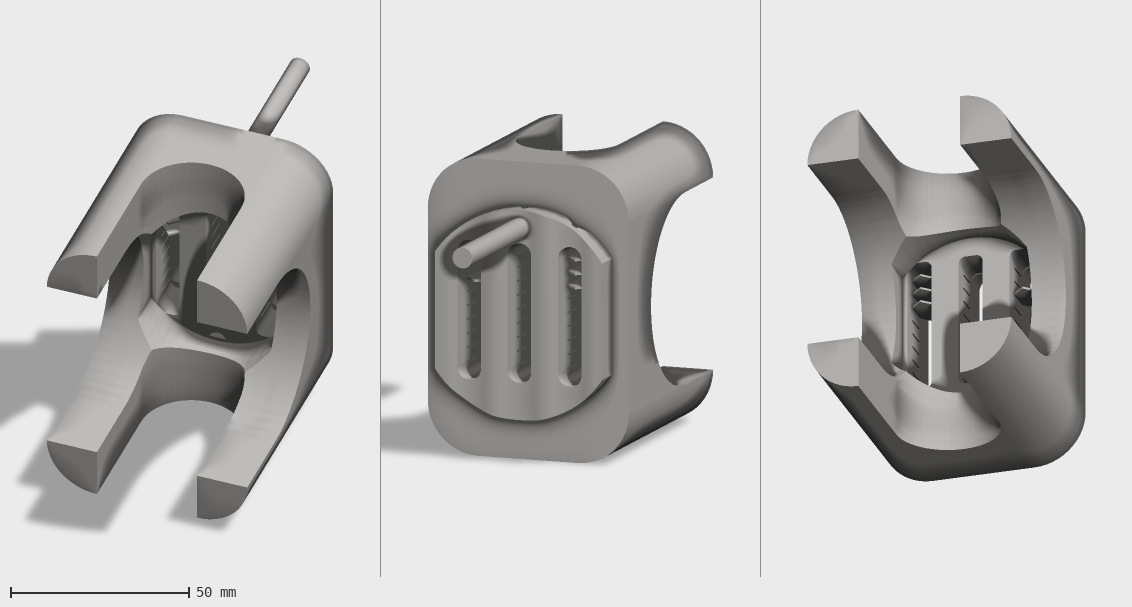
import cadquery as cq
import math


TOTAL_LENGTH = 121.0
WIDTH = 60.0
HEIGHT = 85.0
BLOCK_LENGTH = 68.0
CORNER_RADIUS = WIDTH / 4

PLATE_THICKNESS = 12.0
BACK_WALL = 18.0
BORE_DIAMETER = 50.0
BORE_WIDTH = 39.9
LEG_SIDE = CORNER_RADIUS
VERTICAL_SLOT_RADIUS = WIDTH / 2 - LEG_SIDE
CROSS_SLOT_RADIUS = HEIGHT / 2 - LEG_SIDE

COLUMN_PITCH = WIDTH / 4
COLUMNS = [-COLUMN_PITCH, 0, COLUMN_PITCH]
WINDOW_WIDTH = 7.0
WINDOW_HEIGHT = 39.0
WINDOW_CORNER_RADIUS = 1.9
CAP_WINDOW_CORNER_RADIUS = 3.4
CAP_WINDOW_EXTRA_HEIGHT = 1.0

CAP_DIAMETER = WIDTH
CAP_WIDTH = 50.0
CAP_THICKNESS = 7.9
WAVE_DEPTH = 1.2
VALLEY_RADIUS = 15.7
GROOVE_HALF_WIDTH = 3.6
GROOVE_DEPTH = 4.0
GROOVE_SLIT_WIDTH = 1.7

ROD_DIAMETER = 5.9
ROD_HEIGHT = BORE_DIAMETER / 2
LOWER_HOLE_DIAMETER = 5.1
LOWER_HOLE_TOP = -(ROD_HEIGHT - ROD_DIAMETER / 2)
LOWER_HOLE_FLOOR = -23.8

SAMPLE_SIDE = 10.0
SAMPLE_THICKNESS = 0.6
SAMPLE_TIP = 2.9
ROW_PITCH = 4.0
OUTER_ROW = 4
LOADED_PLACES = [(0, 4), (0, 3), (0, 2), (2, 2)]


def box(x_size, y_start, y_end, z_start, z_end, x_center=0):
    """Box centred on x_center, between two Y positions and two Z positions."""
    corner = cq.Vector(x_center - x_size / 2, y_start, z_start)
    return cq.Workplane(obj=cq.Solid.makeBox(x_size, y_end - y_start, z_end - z_start, corner))


def rod_along_y(diameter, y_start, y_end, z_center):
    """Cylinder along Y at X = 0."""
    start = cq.Vector(0, y_start, z_center)
    direction = cq.Vector(0, 1, 0)
    return cq.Workplane(obj=cq.Solid.makeCylinder(diameter / 2, y_end - y_start, start, direction))


def flatted_disc(diameter, width, y_start, y_end):
    """Disc along Y with two flats facing -X and +X."""
    radius = diameter / 2
    disc = rod_along_y(diameter, y_start, y_end, 0)
    return disc.intersect(box(width, y_start, y_end, -radius, radius))


def window(x_center, z_bottom, z_top, y_start, y_end, corner_radius):
    """Tall window through Y with rounded corners."""
    opening = box(WINDOW_WIDTH, y_start, y_end, z_bottom, z_top, x_center)
    return opening.edges("|Y").fillet(corner_radius)


def open_slot(radius, length):
    """U-shaped slot along Z, open at the front, whose round end leaves the back wall standing."""
    arc_center = -BACK_WALL - radius
    outline = cq.Workplane("XY").moveTo(radius, -BLOCK_LENGTH).lineTo(radius, arc_center)
    outline = outline.threePointArc((0, -BACK_WALL), (-radius, arc_center))
    outline = outline.lineTo(-radius, -BLOCK_LENGTH).close()
    return outline.extrude(length / 2, both=True)


def sample(column, row):
    """Square plate in the given column and row, with one corner pointing towards +Y."""
    half_diagonal = SAMPLE_SIDE / math.sqrt(2)
    x_center = COLUMNS[column]
    y_center = SAMPLE_TIP - half_diagonal
    corners = [
        (x_center, y_center + half_diagonal),
        (x_center + half_diagonal, y_center),
        (x_center, y_center - half_diagonal),
        (x_center - half_diagonal, y_center),
    ]
    plate = cq.Workplane("XY", origin=(0, 0, row * ROW_PITCH)).polyline(corners).close()
    return plate.extrude(SAMPLE_THICKNESS / 2, both=True)


def rod():
    return rod_along_y(ROD_DIAMETER, -PLATE_THICKNESS, TOTAL_LENGTH - BLOCK_LENGTH, ROD_HEIGHT)


def lower_hole():
    """Round hole through the plate, filled up to a flat floor."""
    radius = LOWER_HOLE_DIAMETER / 2
    hole = rod_along_y(LOWER_HOLE_DIAMETER, -PLATE_THICKNESS, 0, LOWER_HOLE_TOP - radius)
    return hole.intersect(box(WIDTH, -PLATE_THICKNESS, 0, LOWER_HOLE_FLOOR, 0))


def block():
    body = box(WIDTH, -BLOCK_LENGTH, 0, -HEIGHT / 2, HEIGHT / 2).edges("|Y").fillet(CORNER_RADIUS)
    body = body.cut(open_slot(VERTICAL_SLOT_RADIUS, HEIGHT))
    body = body.cut(open_slot(CROSS_SLOT_RADIUS, WIDTH).rotate((0, 0, 0), (0, 1, 0), 90))
    body = body.cut(flatted_disc(BORE_DIAMETER, BORE_WIDTH, -BLOCK_LENGTH, -PLATE_THICKNESS))
    window_top = WINDOW_HEIGHT / 2
    for x_center in COLUMNS:
        opening = window(x_center, -window_top, window_top, -PLATE_THICKNESS, 0, WINDOW_CORNER_RADIUS)
        body = body.cut(opening)
    for column in range(len(COLUMNS)):
        for row in range(-OUTER_ROW, OUTER_ROW + 1):
            body = body.cut(sample(column, row))
    return body.cut(rod()).cut(lower_hole())


def wavy_back():
    """Cap side profile: a valley behind every column, and crests that run flat to the flats."""
    half_pitch = COLUMN_PITCH / 2
    valley_level = CAP_THICKNESS - WAVE_DEPTH
    radius_sum = (half_pitch**2 + WAVE_DEPTH**2) / (2 * WAVE_DEPTH)
    blend_x = half_pitch * VALLEY_RADIUS / radius_sum
    blend_y = valley_level + WAVE_DEPTH * VALLEY_RADIUS / radius_sum
    first_crest = COLUMNS[0] - half_pitch
    profile = cq.Workplane("XY", origin=(0, 0, -CAP_DIAMETER / 2)).moveTo(-CAP_WIDTH / 2, 0)
    profile = profile.lineTo(-CAP_WIDTH / 2, CAP_THICKNESS).lineTo(first_crest, CAP_THICKNESS)
    for x_center in COLUMNS:
        profile = profile.tangentArcPoint((x_center - blend_x, blend_y), relative=False)
        profile = profile.threePointArc((x_center, valley_level), (x_center + blend_x, blend_y))
        profile = profile.tangentArcPoint((x_center + half_pitch, CAP_THICKNESS), relative=False)
    profile = profile.lineTo(CAP_WIDTH / 2, CAP_THICKNESS).lineTo(CAP_WIDTH / 2, 0).close()
    return profile.extrude(CAP_DIAMETER)


def groove(x_center):
    """V groove along Z with a narrow slit at its bottom."""
    z_start = -CAP_DIAMETER / 2
    vee = cq.Workplane("XY", origin=(x_center, 0, z_start))
    vee = vee.polyline([(-GROOVE_HALF_WIDTH, 0), (0, GROOVE_HALF_WIDTH), (GROOVE_HALF_WIDTH, 0)])
    vee = vee.close().extrude(CAP_DIAMETER)
    return vee.union(box(GROOVE_SLIT_WIDTH, 0, GROOVE_DEPTH, z_start, -z_start, x_center))


def cap():
    body = flatted_disc(CAP_DIAMETER, CAP_WIDTH, 0, CAP_THICKNESS).intersect(wavy_back())
    window_bottom = -WINDOW_HEIGHT / 2
    window_top = WINDOW_HEIGHT / 2 + CAP_WINDOW_EXTRA_HEIGHT
    for x_center in COLUMNS:
        body = body.cut(groove(x_center))
        opening = window(x_center, window_bottom, window_top, 0, CAP_THICKNESS, CAP_WINDOW_CORNER_RADIUS)
        body = body.cut(opening)
    return body.cut(rod())


samples = [sample(column, row) for column, row in LOADED_PLACES]

result = cq.Compound.makeCompound([
    block().val(),
    cap().val(),
    rod().val(),
    *[plate.val() for plate in samples],
])